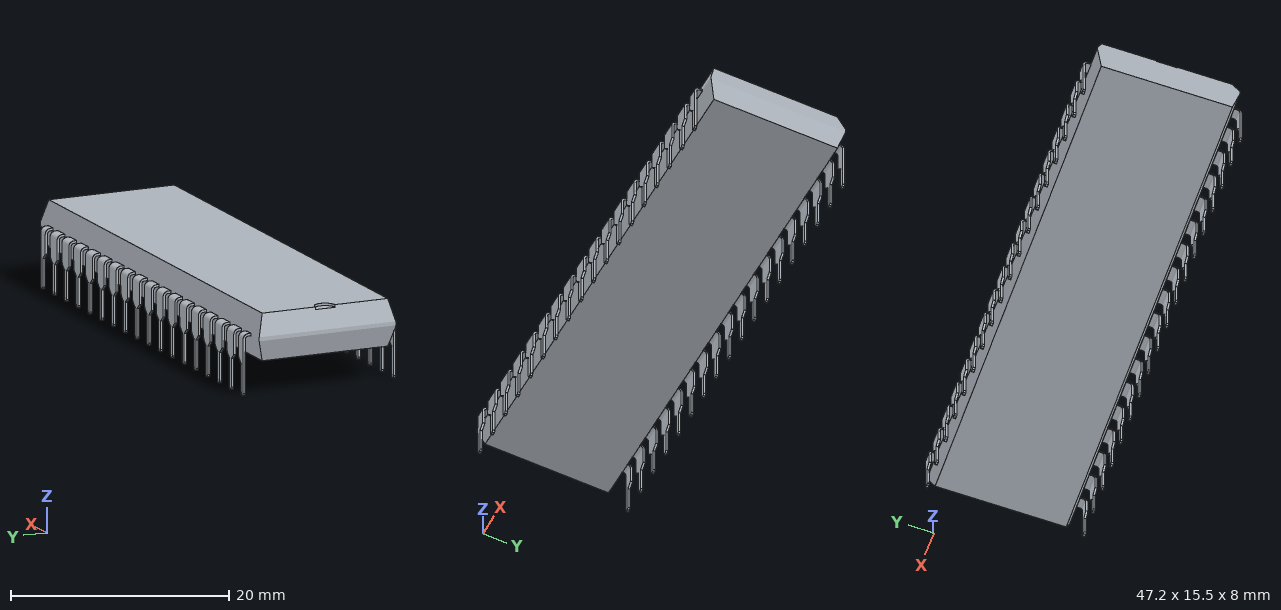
import cadquery as cq


BODY_LENGTH = 47.2
BODY_WIDTH = 13.9
BODY_TOP = 8.0
BODY_HEIGHT = 4.55
BAND_TOP = 5.85
BAND_HEIGHT = 0.4
DRAFT_INSET = 0.55
BODY_BOTTOM = BODY_TOP - BODY_HEIGHT
BAND_BOTTOM = BAND_TOP - BAND_HEIGHT

NOTCH_RADIUS = 1.0
NOTCH_DEPTH = 0.25

LEADS_PER_SIDE = 18
LEAD_ROW_LENGTH = 43.2
LEAD_PITCH = LEAD_ROW_LENGTH / (LEADS_PER_SIDE - 1)
LEAD_SPAN = 15.5
LEAD_THICKNESS = 0.25
BEND_RADIUS = 0.5
SHOULDER_WIDTH = 1.5
PIN_WIDTH = 0.45
SHOULDER_BOTTOM = 3.45
LEAD_EMBED = 0.45
TIP_HEIGHT = 0.25
TIP_WIDTH = 0.3
SHOULDER_STEP = (SHOULDER_WIDTH - PIN_WIDTH) / 2
PIN_TOP = SHOULDER_BOTTOM - SHOULDER_STEP


def make_half_body(band_edge, end_face):
    """Tapered half of the body between the band edge and the flat end face."""
    return (
        cq.Workplane("XY", origin=(0, 0, band_edge))
        .rect(BODY_LENGTH, BODY_WIDTH)
        .workplane(offset=end_face - band_edge)
        .rect(BODY_LENGTH - 2 * DRAFT_INSET, BODY_WIDTH - 2 * DRAFT_INSET)
        .loft(ruled=True)
    )


def make_notch():
    """Shallow round cutter centred on the -X edge of the top face."""
    edge_x = -BODY_LENGTH / 2 + DRAFT_INSET
    return (
        cq.Workplane("XY", origin=(edge_x, 0, BODY_TOP - NOTCH_DEPTH))
        .circle(NOTCH_RADIUS)
        .extrude(NOTCH_DEPTH)
    )


def make_body():
    band = (
        cq.Workplane("XY", origin=(0, 0, BAND_BOTTOM))
        .rect(BODY_LENGTH, BODY_WIDTH)
        .extrude(BAND_HEIGHT)
    )
    upper = make_half_body(BAND_TOP, BODY_TOP)
    lower = make_half_body(BAND_BOTTOM, BODY_BOTTOM)
    return band.union(upper).union(lower).cut(make_notch())


def make_bent_strip():
    """Full-width lead strip on the -Y side: out of the body, then down to the tip."""
    outer_y = -LEAD_SPAN / 2
    inner_y = outer_y + LEAD_THICKNESS
    root_y = -BODY_WIDTH / 2 + LEAD_EMBED
    bend_y = outer_y + BEND_RADIUS
    bend_z = BAND_TOP - BEND_RADIUS
    inner_radius = BEND_RADIUS - LEAD_THICKNESS
    return (
        cq.Workplane("YZ", origin=(-SHOULDER_WIDTH / 2, 0, 0))
        .moveTo(outer_y, TIP_HEIGHT)
        .lineTo(outer_y, bend_z)
        .radiusArc((bend_y, BAND_TOP), BEND_RADIUS)
        .lineTo(root_y, BAND_TOP)
        .lineTo(root_y, BAND_TOP - LEAD_THICKNESS)
        .lineTo(bend_y, BAND_TOP - LEAD_THICKNESS)
        .radiusArc((inner_y, bend_z), -inner_radius)
        .lineTo(inner_y, TIP_HEIGHT)
        .close()
        .extrude(SHOULDER_WIDTH)
    )


def make_lead_outline(left_shoulder, right_shoulder):
    """Block with the lead's front outline; each argument is the half width on that side."""
    half_pin = PIN_WIDTH / 2
    points = [(-half_pin, TIP_HEIGHT)]
    if left_shoulder > half_pin:
        points += [(-half_pin, PIN_TOP), (-left_shoulder, SHOULDER_BOTTOM)]
    points += [(-left_shoulder, BAND_TOP), (right_shoulder, BAND_TOP)]
    if right_shoulder > half_pin:
        points += [(right_shoulder, SHOULDER_BOTTOM), (half_pin, PIN_TOP)]
    points.append((half_pin, TIP_HEIGHT))
    return cq.Workplane("XZ").polyline(points).close().extrude(LEAD_SPAN / 2)


def make_tip():
    """Lead end narrowing in width at constant thickness."""
    center_y = -(LEAD_SPAN - LEAD_THICKNESS) / 2
    return (
        cq.Workplane("XY", origin=(0, center_y, 0))
        .rect(TIP_WIDTH, LEAD_THICKNESS)
        .workplane(offset=TIP_HEIGHT)
        .rect(PIN_WIDTH, LEAD_THICKNESS)
        .loft(ruled=True)
    )


def make_lead(left_shoulder, right_shoulder):
    """One lead of the -Y row, centred on X = 0."""
    outline = make_lead_outline(left_shoulder, right_shoulder)
    return make_bent_strip().intersect(outline).union(make_tip())


def make_lead_row():
    """All leads of the -Y row; the two end leads have no shoulder on the outer side."""
    half_pin = PIN_WIDTH / 2
    half_shoulder = SHOULDER_WIDTH / 2
    first_x = -LEAD_ROW_LENGTH / 2
    full_lead = make_lead(half_shoulder, half_shoulder)
    first_lead = make_lead(half_pin, half_shoulder)
    last_lead = make_lead(half_shoulder, half_pin)
    inner_leads = [full_lead] * (LEADS_PER_SIDE - 2)
    leads = [first_lead] + inner_leads + [last_lead]
    return [
        lead.translate((first_x + index * LEAD_PITCH, 0, 0))
        for index, lead in enumerate(leads)
    ]


result = make_body()
for lead in make_lead_row():
    result = result.union(lead).union(lead.mirror("XZ"))